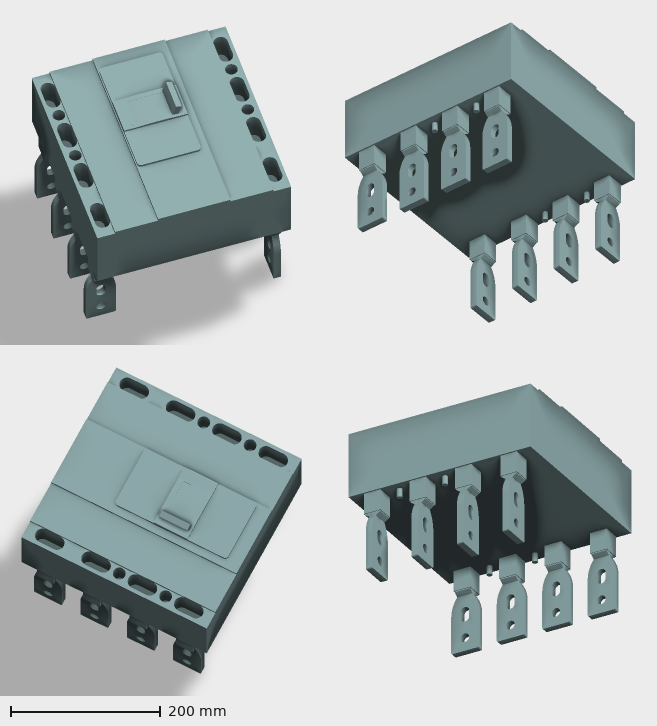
import cadquery as cq
import math


pole_pitch = 70.0
pole_count = 4
pole_xs = [(i - (pole_count - 1) / 2) * pole_pitch for i in range(pole_count)]
row_y = 121.5

housing_width = pole_count * pole_pitch
housing_depth = 273.0
housing_height = 96.5
cover_half_depth = 111.5
cover_step = 3.5
cover_top = housing_height + cover_step
middle_half_depth = 51.0
middle_top = cover_top + cover_step

slot_length = 42.0
slot_width = 20.0
recess_depth = 40.0
slot_floor = housing_height - recess_depth

plate_center_x = -34.5
plate_width = 170.0
plate_back = 40.0
plate_front = -49.5
plate_corner_radius = 5.0
plate_top = middle_top + 3.5
guard_width = 51.0
guard_top = plate_top + 2.8

crown_half_depth = 31.5
crown_rise = 1.1
crown_radius = (crown_half_depth**2 + crown_rise**2) / (2 * crown_rise)
crown_axis_z = guard_top + crown_rise - crown_radius
track_x = pole_xs[1]
track_width = 36.0
track_back = 31.5
track_front = -30.3
track_sink = 0.2

window_length = 6.0
window_width = 5.4
window_margin = 1.0
window_center_x = plate_center_x + guard_width / 2 - window_length / 2 - window_margin
window_center_y = -37.3
window_depth = 0.2

toggle_width = 43.0
toggle_thickness = 8.8
toggle_lean = math.radians(19.0)
toggle_tip_y = 25.0
toggle_tip_z = 126.18
toggle_length = 20.0

stem_size = 25.5
stem_bottom = -31.0
neck_size = 23.5
neck_bottom = stem_bottom - 1.5
blade_top = neck_bottom - 4.5
blade_width = 42.0
blade_thickness = 10.0
shoulder_bottom = -65.0
blade_bottom = -122.0
blade_corner_radius = 2.0
oblong_center_z = -66.0
oblong_length = 22.0
hole_diameter = 13.0
round_hole_z = -102.0

screw_xs = [(pole_xs[i] + pole_xs[i + 1]) / 2 for i in range(2)]
screw_points = [(x, side * row_y) for x in screw_xs for side in (-1, 1)]
screw_head_diameter = 17.0
screw_head_edge_radius = 6.0
screw_shank_diameter = 8.0
screw_tip_z = -13.0
screw_seat_z = housing_height - recess_depth


def block(x0, x1, y0, y1, z0, z1):
    """Axis-aligned box between two opposite corners."""
    return cq.Workplane("XY").box(x1 - x0, y1 - y0, z1 - z0, centered=False).translate((x0, y0, z0))


def arch(center_x, width, y0, y1, radius, bottom):
    """Block whose top is an arc about the crown axis, which runs along X."""
    cylinder = (
        cq.Workplane("YZ", origin=(center_x - width / 2, 0, crown_axis_z))
        .circle(radius)
        .extrude(width)
    )
    bounds = block(
        center_x - width / 2, center_x + width / 2, y0, y1, bottom, guard_top + 2 * crown_rise
    )
    return cylinder.intersect(bounds)


def make_case():
    """Box-shaped housing with the two cover steps along its full width."""
    half_width = housing_width / 2
    steps = [
        (housing_depth / 2, 0, housing_height),
        (cover_half_depth, housing_height, cover_top),
        (middle_half_depth, cover_top, middle_top),
    ]
    case = cq.Workplane("XY")
    for half_depth, bottom, top in steps:
        case = case.union(block(-half_width, half_width, -half_depth, half_depth, bottom, top))
    return case


def make_access_slots():
    """Blind slots down to the terminals, one over each."""
    points = [(x, side * row_y) for x in pole_xs for side in (-1, 1)]
    return (
        cq.Workplane("XY", origin=(0, 0, slot_floor))
        .pushPoints(points)
        .slot2D(slot_length, slot_width)
        .extrude(housing_height - slot_floor)
    )


def make_plate():
    """Rounded plate on the middle step of the cover."""
    left = plate_center_x - plate_width / 2
    plate = block(left, left + plate_width, plate_front, plate_back, middle_top, plate_top)
    return plate.edges("|Z").fillet(plate_corner_radius)


def make_guard():
    """Guard around the toggle: flat at both ends, arched between, with the toggle's track sunk in."""
    left = plate_center_x - guard_width / 2
    guard = block(left, left + guard_width, plate_front, plate_back, plate_top, guard_top)
    crown = arch(
        plate_center_x, guard_width, -crown_half_depth, crown_half_depth, crown_radius, plate_top
    )
    track_space = block(
        track_x - track_width / 2, track_x + track_width / 2,
        track_front, track_back, plate_top, guard_top + 2 * crown_rise,
    )
    track = arch(
        track_x, track_width, track_front, track_back, crown_radius - track_sink, plate_top
    )
    window = block(
        window_center_x - window_length / 2, window_center_x + window_length / 2,
        window_center_y - window_width / 2, window_center_y + window_width / 2,
        guard_top - window_depth, guard_top,
    )
    return guard.union(crown).cut(track_space).union(track).cut(window)


def make_toggle():
    """Leaning bar of rectangular section, its foot buried in the track."""
    along = (math.sin(toggle_lean), math.cos(toggle_lean))
    across = (math.cos(toggle_lean), -math.sin(toggle_lean))
    tip = (toggle_tip_y, toggle_tip_z)
    back_tip = (tip[0] + toggle_thickness * across[0], tip[1] + toggle_thickness * across[1])
    back_foot = (back_tip[0] - toggle_length * along[0], back_tip[1] - toggle_length * along[1])
    front_foot = (tip[0] - toggle_length * along[0], tip[1] - toggle_length * along[1])
    return (
        cq.Workplane("YZ", origin=(track_x - toggle_width / 2, 0, 0))
        .polyline([tip, back_tip, back_foot, front_foot])
        .close()
        .extrude(toggle_width)
    )


def make_terminal():
    """Square stem, tapered neck and flat drilled blade; the blade is thin along X, wide along Y."""
    stem = block(-stem_size / 2, stem_size / 2, -stem_size / 2, stem_size / 2, stem_bottom, 0)

    neck_half = neck_size / 2
    blade_half_thickness = blade_thickness / 2
    neck = (
        cq.Workplane("XZ", origin=(0, neck_half, 0))
        .moveTo(-neck_half, stem_bottom)
        .lineTo(neck_half, stem_bottom)
        .lineTo(neck_half, neck_bottom)
        .lineTo(blade_half_thickness, blade_top)
        .lineTo(-blade_half_thickness, blade_top)
        .lineTo(-neck_half, neck_bottom)
        .close()
        .extrude(neck_size)
    )

    blade_half = blade_width / 2
    inset = blade_half - neck_half
    drop = blade_top - shoulder_bottom
    shoulder_radius = (inset**2 + drop**2) / (2 * inset)
    blade = (
        cq.Workplane("YZ", origin=(-blade_half_thickness, 0, 0))
        .moveTo(-neck_half, blade_top)
        .lineTo(neck_half, blade_top)
        .radiusArc((blade_half, shoulder_bottom), shoulder_radius)
        .lineTo(blade_half, blade_bottom)
        .lineTo(-blade_half, blade_bottom)
        .lineTo(-blade_half, shoulder_bottom)
        .radiusArc((-neck_half, blade_top), shoulder_radius)
        .close()
        .extrude(blade_thickness)
    )
    blade = blade.edges("|X and <Z").fillet(blade_corner_radius)

    hole_plane = cq.Workplane("YZ", origin=(-blade_half_thickness, 0, 0))
    oblong = (
        hole_plane.center(0, oblong_center_z)
        .slot2D(oblong_length, hole_diameter, 90)
        .extrude(blade_thickness)
    )
    round_hole = hole_plane.center(0, round_hole_z).circle(hole_diameter / 2).extrude(blade_thickness)
    return stem.union(neck).union(blade).cut(oblong).cut(round_hole)


def make_screw_holes():
    """Counterbored through holes for the mounting screws."""
    holes = cq.Workplane("XY")
    for x, y in screw_points:
        shank = cq.Workplane("XY", origin=(x, y, 0)).circle(screw_shank_diameter / 2)
        head = cq.Workplane("XY", origin=(x, y, screw_seat_z)).circle(screw_head_diameter / 2)
        holes = holes.union(shank.extrude(screw_seat_z))
        holes = holes.union(head.extrude(housing_height - screw_seat_z))
    return holes


def make_breaker():
    """Housing with its cover, toggle and fixed terminals, as one body."""
    breaker = make_case().cut(make_access_slots()).cut(make_screw_holes())
    breaker = breaker.union(make_plate()).union(make_guard()).union(make_toggle())
    front_terminal = make_terminal()
    rear_terminal = front_terminal.rotate((0, 0, 0), (0, 0, 1), 90)
    for x in pole_xs:
        breaker = breaker.union(front_terminal.translate((x, -row_y, 0)))
        breaker = breaker.union(rear_terminal.translate((x, row_y, 0)))
    return breaker


def make_screw(x, y):
    """Round-headed screw seated in its counterbore, its tip below the housing."""
    head_radius = screw_head_diameter / 2
    flat_radius = head_radius - screw_head_edge_radius
    head_top = screw_seat_z + screw_head_edge_radius
    return (
        cq.Workplane("XZ")
        .moveTo(0, screw_tip_z)
        .lineTo(screw_shank_diameter / 2, screw_tip_z)
        .lineTo(screw_shank_diameter / 2, screw_seat_z)
        .lineTo(head_radius, screw_seat_z)
        .radiusArc((flat_radius, head_top), -screw_head_edge_radius)
        .lineTo(0, head_top)
        .close()
        .revolve(360, (0, 0, 0), (0, 1, 0))
        .translate((x, y, 0))
    )


breaker = make_breaker()
screws = [make_screw(x, y) for x, y in screw_points]

result = cq.Compound.makeCompound([breaker.val(), *[screw.val() for screw in screws]])